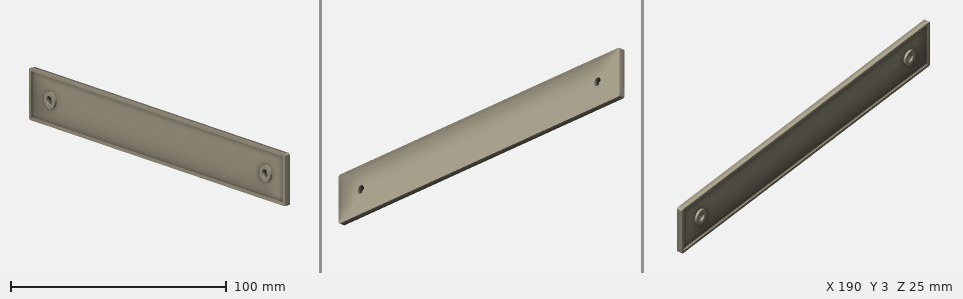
import cadquery as cq

length = 190.0
thickness = 3.0
height = 25.0
corner_radius = 1.0

rim_width = 1.3
recess_depth = 1.1

hole_spacing = 160.0
hole_diameter = 4.2
ring_diameter = 8.0
ring_height = recess_depth

front_y = -thickness / 2
recess_floor_y = front_y + recess_depth
hole_centers = [(-hole_spacing / 2, 0), (hole_spacing / 2, 0)]


def front_plane(y):
    """Sketch plane at the given Y, facing -Y, with X right and Z up."""
    return cq.Workplane("XZ", origin=(0, y, 0))


def make_plate():
    plate = cq.Workplane("XY").box(length, thickness, height)
    return plate.edges("|Y").fillet(corner_radius)


def make_recess():
    return (
        front_plane(recess_floor_y)
        .rect(length - 2 * rim_width, height - 2 * rim_width)
        .extrude(recess_depth)
    )


def make_rings():
    return (
        front_plane(recess_floor_y)
        .pushPoints(hole_centers)
        .circle(ring_diameter / 2)
        .extrude(ring_height)
    )


def make_holes():
    return (
        front_plane(thickness / 2)
        .pushPoints(hole_centers)
        .circle(hole_diameter / 2)
        .extrude(thickness)
    )


recessed_plate = make_plate().cut(make_recess())
result = recessed_plate.union(make_rings()).cut(make_holes())